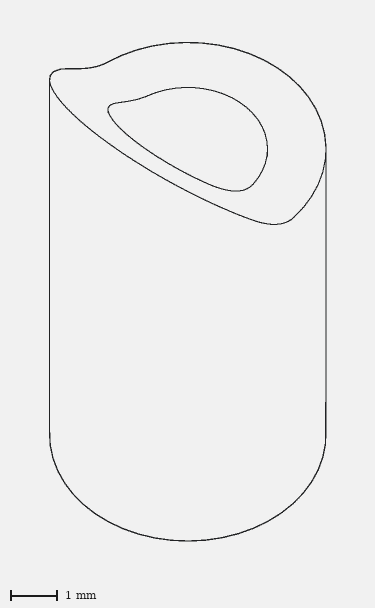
import cadquery as cq

outer_diameter = 5.9
bore_diameter = 3.4
tip_height = 12.75
ledge_height = 9.56
corner_y = -0.05
blend_ledge_y = 0.37
blend_slope_y = -0.78
cut_margin = 1.28

outer_radius = outer_diameter / 2
slope = (tip_height - ledge_height) / (corner_y + outer_radius)


def slope_point(y):
    """Point (y, z) on the slanted cut."""
    return y, ledge_height + slope * (corner_y - y)


def make_tube():
    """Round tube with a through bore along Z."""
    return (
        cq.Workplane("XY")
        .circle(outer_radius)
        .circle(bore_diameter / 2)
        .extrude(tip_height)
    )


def make_top_cutter():
    """Solid above the slope and the ledge, joined by a parabolic blend tangent to both."""
    front_y = -outer_radius - cut_margin
    back_y = outer_radius + cut_margin
    slope_top = slope_point(front_y)
    blend_start = slope_point(blend_slope_y)
    blend_control = (corner_y, ledge_height)
    blend_end = (blend_ledge_y, ledge_height)
    return (
        cq.Workplane("YZ")
        .moveTo(*slope_top)
        .lineTo(*blend_start)
        .bezier([blend_start, blend_control, blend_end])
        .lineTo(back_y, ledge_height)
        .lineTo(back_y, slope_top[1])
        .close()
        .extrude(outer_radius + cut_margin, both=True)
    )


result = make_tube().cut(make_top_cutter())